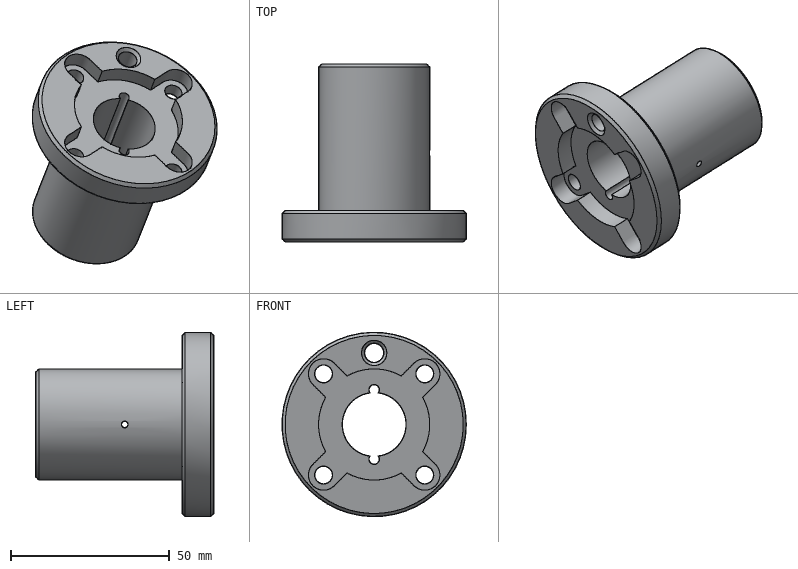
import cadquery as cq

flange_diameter = 58.0
flange_thickness = 10.0
body_diameter = 35.0
total_length = 56.0
edge_chamfer = 1.0

bore_diameter = 20.0
groove_diameter = 3.2
groove_offset = 10.9

pocket_depth = 5.5
arm_width = 9.5
bolt_circle_radius = 22.5
bolt_angles = (45, 135, 225, 315)
bolt_hole_diameter = 5.5

grease_hole_diameter = 6.0
grease_countersink = 1.0
cross_hole_diameter = 2.0
cross_hole_position = total_length / 2


def cylinder(diameter, length, x=0, z=0):
    """Cylinder running from the flange face along +Y."""
    return cq.Workplane("XZ").center(x, z).circle(diameter / 2).extrude(-length)


def make_blank():
    """Flange and body with chamfered outer edges."""
    flange = cylinder(flange_diameter, flange_thickness).edges().chamfer(edge_chamfer)
    body = cylinder(body_diameter, total_length).faces(">Y").edges().chamfer(edge_chamfer)
    return flange.union(body)


def make_pocket():
    """Round recess with a round-ended arm reaching each bolt hole."""
    pocket = cylinder(body_diameter, pocket_depth)
    for angle in bolt_angles:
        arm = (
            cq.Workplane("XZ")
            .center(bolt_circle_radius / 2, 0)
            .slot2D(bolt_circle_radius + arm_width, arm_width)
            .extrude(-pocket_depth)
            .rotate((0, 0, 0), (0, 1, 0), angle)
        )
        pocket = pocket.union(arm)
    return pocket


def make_bolt_holes():
    hole = cylinder(bolt_hole_diameter, flange_thickness, bolt_circle_radius)
    holes = cq.Workplane()
    for angle in bolt_angles:
        holes = holes.add(hole.rotate((0, 0, 0), (0, 1, 0), angle))
    return holes.combine()


def make_bore():
    """Central bore with two opposite round grooves along its full length."""
    bore = cylinder(bore_diameter, total_length)
    for side in (-1, 1):
        bore = bore.union(cylinder(groove_diameter, total_length, z=side * groove_offset))
    return bore


def make_grease_hole():
    """Hole through the flange, countersunk at 45 degrees on the flange face."""
    hole = cylinder(grease_hole_diameter, flange_thickness, z=bolt_circle_radius)
    countersink = cq.Workplane(
        cq.Solid.makeCone(
            grease_hole_diameter / 2 + grease_countersink,
            grease_hole_diameter / 2,
            grease_countersink,
            cq.Vector(0, 0, bolt_circle_radius),
            cq.Vector(0, 1, 0),
        )
    )
    return hole.union(countersink)


def make_cross_hole():
    return (
        cq.Workplane("YZ")
        .center(cross_hole_position, 0)
        .circle(cross_hole_diameter / 2)
        .extrude(body_diameter / 2, both=True)
    )


result = (
    make_blank()
    .cut(make_pocket())
    .cut(make_bolt_holes())
    .cut(make_bore())
    .cut(make_grease_hole())
    .cut(make_cross_hole())
)